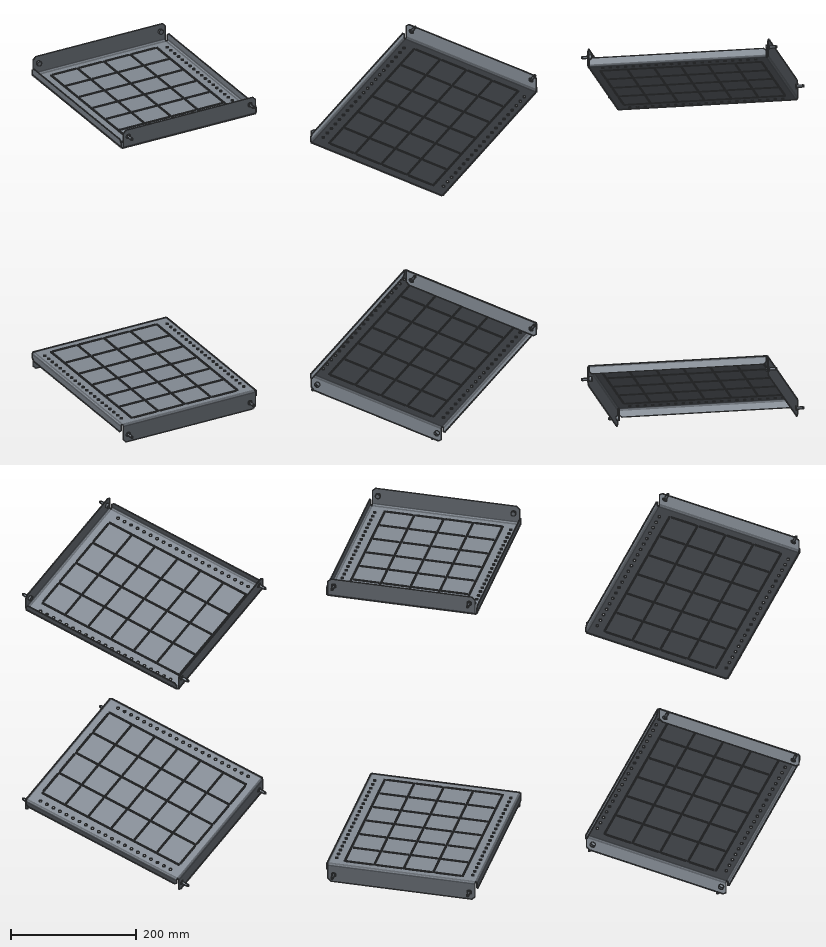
import cadquery as cq

overall_height = 562.0
overall_length = 318.0

tray_length = 294.5
tray_width = 249.0
sheet = 1.0
bend_radius = 3.0
side_wall_height = 32.0
flange_height = 14.5
side_wall_bevel = 5.0
flange_bevel = 4.0

cell_columns = 6
cell_rows = 4
grid_length = 263.0
grid_width = 194.5
slot_width = 1.95
slot_bridge = 2.0
column_pitch = grid_length / cell_columns
row_pitch = grid_width / cell_rows

floor_hole_count = 21
floor_hole_diameter = 4.2
floor_hole_span = 249.5
floor_hole_offset = 112.5
floor_hole_pitch = floor_hole_span / (floor_hole_count - 1)

pin_offset = 112.0
pin_height = 19.5
shank_diameter = 4.0
shank_reach = (overall_length - tray_length) / 2
tip_length = 1.5
tip_inset = 0.5
head_diameter = 8.0
head_thickness = 4.0


def standing_block(length, width, height):
    """Block centred in X and Y that stands on Z = 0."""
    return cq.Workplane("XY").box(length, width, height, centered=(True, True, False))


def rounded_block(length, width, height, radius):
    """Block with its four bottom edges rounded and the roundings mitred at the corners."""
    rounded_ends = standing_block(length, width, height).edges("|Y and <Z").fillet(radius)
    rounded_sides = standing_block(length, width, height).edges("|X and <Z").fillet(radius)
    return rounded_ends.intersect(rounded_sides)


def folded_sheet():
    """Open tray of constant thickness, before its walls are trimmed."""
    outside = rounded_block(tray_length, tray_width, side_wall_height, bend_radius)
    inside = rounded_block(
        tray_length - 2 * sheet,
        tray_width - 2 * sheet,
        side_wall_height,
        bend_radius - sheet,
    )
    return outside.cut(inside.translate((0, 0, sheet)))


def wall_envelope():
    """Space the trimmed walls may fill: notched tray corners and bevelled wall corners."""
    side_walls = standing_block(tray_length, tray_width - 2 * bend_radius, side_wall_height)
    side_walls = side_walls.edges("|X and >Z").chamfer(side_wall_bevel)
    flanges = standing_block(tray_length - 2 * bend_radius, tray_width, flange_height)
    flanges = flanges.edges("|Y and >Z").chamfer(flange_bevel)
    return side_walls.union(flanges)


def grid_slots():
    """Full-length slots along X, and short slots along Y with a bridge left at both ends."""
    long_slots = (
        cq.Workplane("XY")
        .rarray(5.5, row_pitch, 1, cell_rows + 1)
        .rect(grid_length, slot_width)
        .extrude(sheet)
    )
    short_slots = (
        cq.Workplane("XY")
        .rarray(column_pitch, row_pitch, cell_columns + 1, cell_rows)
        .rect(slot_width, row_pitch - slot_width - 2 * slot_bridge)
        .extrude(sheet)
    )
    return long_slots.union(short_slots)


def floor_holes():
    return (
        cq.Workplane("XY")
        .rarray(floor_hole_pitch, 2 * floor_hole_offset, floor_hole_count, 2)
        .circle(floor_hole_diameter / 2)
        .extrude(sheet)
    )


def pin_holes():
    return (
        cq.Workplane("YZ")
        .pushPoints([(-pin_offset, pin_height), (pin_offset, pin_height)])
        .circle(shank_diameter / 2)
        .extrude(tray_length / 2, both=True)
    )


def make_tray():
    tray = folded_sheet().intersect(wall_envelope())
    return tray.cut(grid_slots()).cut(floor_holes()).cut(pin_holes())


def make_pin():
    """Pin of the +X wall at Y = 0, revolved about its own axis."""
    outer_face = tray_length / 2
    inner_face = outer_face - sheet
    head_face = inner_face - head_thickness
    tip = outer_face + shank_reach
    shank_radius = shank_diameter / 2
    head_radius = head_diameter / 2
    profile = (
        cq.Workplane("XZ")
        .moveTo(head_face, 0)
        .lineTo(head_face, head_radius)
        .lineTo(inner_face, head_radius)
        .lineTo(inner_face, shank_radius)
        .lineTo(tip - tip_length, shank_radius)
        .lineTo(tip, shank_radius - tip_inset)
        .lineTo(tip, 0)
        .close()
    )
    return profile.revolve(360, (0, 0, 0), (1, 0, 0)).translate((0, 0, pin_height))


def make_pins():
    """Four pins of one tray, one near each end of both side walls."""
    pins = []
    for y in (-pin_offset, pin_offset):
        right_pin = make_pin().translate((0, y, 0))
        pins.append(right_pin)
        pins.append(right_pin.mirror("YZ"))
    return pins


floor_level = overall_height / 2 - side_wall_height
solids = []
for body in [make_tray(), *make_pins()]:
    upper_body = body.translate((0, 0, floor_level))
    lower_body = upper_body.mirror("XY")
    solids.append(upper_body.solids().val())
    solids.append(lower_body.solids().val())

result = cq.Compound.makeCompound(solids)